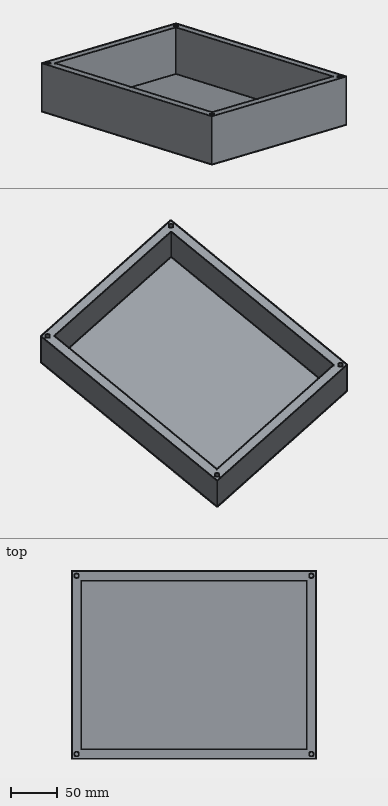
import cadquery as cq

length = 260.0
width = 200.0
height = 54.0

wall = 10.1
floor = 2.0

hole_diameter = 5.0
hole_depth = 13.0
hole_inset = wall / 2


def make_tray():
    block = cq.Workplane("XY").box(length, width, height, centered=(True, True, False))
    cavity = (
        cq.Workplane("XY")
        .workplane(offset=floor)
        .rect(length - 2 * wall, width - 2 * wall)
        .extrude(height - floor)
    )
    return block.cut(cavity)


def drill_corner_holes(tray):
    return (
        tray.faces(">Z")
        .workplane(origin=(0, 0, height))
        .rect(length - 2 * hole_inset, width - 2 * hole_inset, forConstruction=True)
        .vertices()
        .hole(hole_diameter, hole_depth)
    )


result = drill_corner_holes(make_tray())